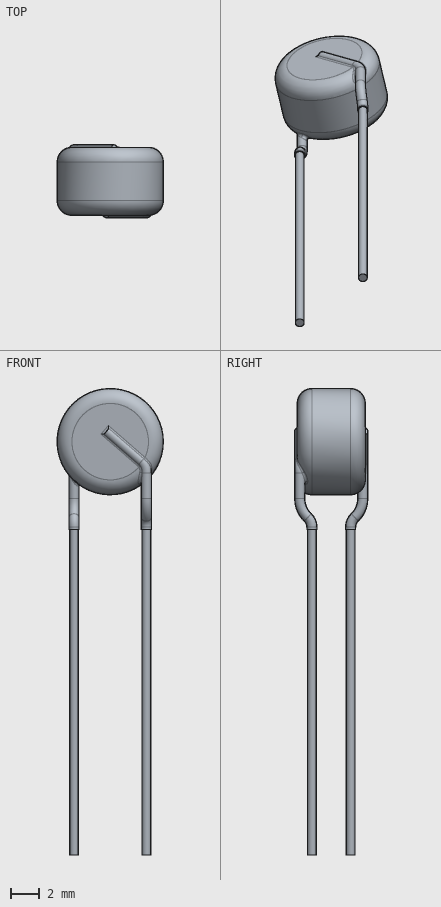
import cadquery as cq
import math

disc_diameter = 7.4
disc_thickness = 4.73
disc_edge_radius = 1.05

total_height = 32.4
total_depth = 5.1
lead_diameter = 0.6
coat_diameter = 0.7
lead_pitch = 5.02
lead_spacing_y = 2.7

tip_x = -0.25
tip_z = 0.7
slant_angle = 49.0
shoulder_radius = 1.05
vertical_end_z = -3.95
kink_angle = 46.0
upper_kink_radius = 1.8
coat_collar_length = 0.15

joint_radius = 0.15
joint_probe_fraction = 0.4
touch_tolerance = 0.0003

disc_radius = disc_diameter / 2
lead_bottom_z = disc_radius - total_height
lead_x = lead_pitch / 2
lead_y = -lead_spacing_y / 2
wire_y = -(total_depth - coat_diameter) / 2


def make_disc():
    back_plane = cq.Workplane("XZ", origin=(0, disc_thickness / 2, 0))
    disc = back_plane.circle(disc_radius).extrude(disc_thickness)
    return disc.edges().fillet(disc_edge_radius)


def make_coated_path():
    """Centre line of the -Y wire: slanted tip, shoulder, vertical run, inward kink, collar."""
    slant = math.radians(slant_angle)
    corner_z = tip_z - (lead_x - tip_x) / math.tan(slant)
    shoulder_tangent = shoulder_radius * math.tan(slant / 2)
    tip = cq.Vector(tip_x, wire_y, tip_z)
    shoulder_start = cq.Vector(
        lead_x - shoulder_tangent * math.sin(slant), wire_y, corner_z + shoulder_tangent * math.cos(slant)
    )
    shoulder_end = cq.Vector(lead_x, wire_y, corner_z - shoulder_tangent)
    kink_start = cq.Vector(lead_x, wire_y, vertical_end_z)

    kink = math.radians(kink_angle)
    radius_sum = (lead_y - wire_y) / (1 - math.cos(kink))
    kink_middle = cq.Vector(
        lead_x,
        wire_y + upper_kink_radius * (1 - math.cos(kink)),
        vertical_end_z - upper_kink_radius * math.sin(kink),
    )
    kink_end = cq.Vector(lead_x, lead_y, vertical_end_z - radius_sum * math.sin(kink))
    collar_end = kink_end - cq.Vector(0, 0, coat_collar_length)

    down = cq.Vector(0, 0, -1)
    slant_direction = cq.Vector(math.sin(slant), 0, -math.cos(slant))
    kink_direction = cq.Vector(0, math.sin(kink), -math.cos(kink))
    edges = [
        cq.Edge.makeLine(tip, shoulder_start),
        cq.Edge.makeTangentArc(shoulder_start, slant_direction, shoulder_end),
        cq.Edge.makeLine(shoulder_end, kink_start),
        cq.Edge.makeTangentArc(kink_start, down, kink_middle),
        cq.Edge.makeTangentArc(kink_middle, kink_direction, kink_end),
        cq.Edge.makeLine(kink_end, collar_end),
    ]
    return cq.Wire.assembleEdges(edges), tip, slant_direction, collar_end


def make_wire():
    """Coated wire and bare lead on the -Y side of the disc."""
    path, tip, direction, collar_end = make_coated_path()
    tip_plane = cq.Plane(origin=tip, xDir=cq.Vector(0, 1, 0), normal=direction)
    coat = cq.Workplane(tip_plane).circle(coat_diameter / 2).sweep(cq.Workplane(path))
    lead_length = collar_end.z - lead_bottom_z
    lead_plane = cq.Workplane("XY", origin=(lead_x, lead_y, lead_bottom_z))
    lead = lead_plane.circle(lead_diameter / 2).extrude(lead_length)
    return coat.union(lead)


def blend_joints(body, disc, wires):
    """Round the inner corner wherever a coated wire emerges from the disc surface."""
    disc_skin = disc.val().Shells()[0]
    wire_skins = [wire.val().Shells()[0] for wire in wires]

    def lies_on_joint(edge):
        probe = cq.Vertex.makeVertex(*edge.positionAt(joint_probe_fraction).toTuple())
        wire_gap = min(skin.distance(probe) for skin in wire_skins)
        return max(disc_skin.distance(probe), wire_gap) < touch_tolerance

    joint_edges = [edge for edge in body.edges().vals() if lies_on_joint(edge)]
    return body.newObject(joint_edges).fillet(joint_radius)


disc = make_disc()
front_wire = make_wire()
back_wire = front_wire.rotate((0, 0, 0), (0, 0, 1), 180)
joined = disc.union(front_wire).union(back_wire)
result = blend_joints(joined, disc, [front_wire, back_wire])